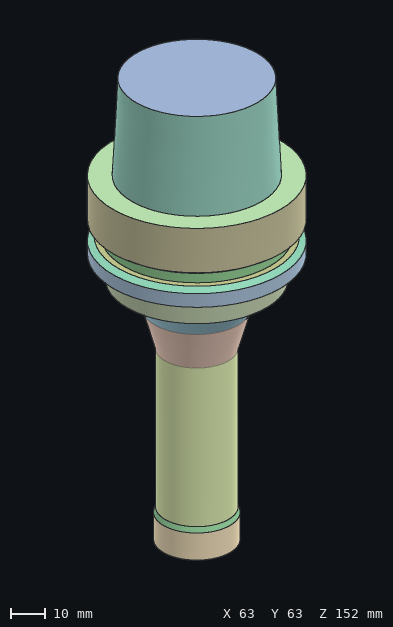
import cadquery as cq

taper_length = 32.0
flange_thickness = 26.0
collar_length = 8.3
flare_depth = 43.8
stem_top_depth = 57.0
overall_length = 152.0
bottom_depth = overall_length - taper_length
tip_length = 9.0
tip_cone_length = 1.75

flange_diameter = 63.0
groove_diameter = 55.0
collar_diameter = 52.6
flare_top_diameter = 44.2
flare_bottom_diameter = 31.4
stem_diameter = 23.8
tip_diameter = 25.0

taper_ratio = 0.1
taper_base_diameter = 48.7
taper_top_diameter = taper_base_diameter - taper_ratio * taper_length

groove_upper_edge_depth = 14.6
groove_floor_top_depth = 16.4
groove_floor_bottom_depth = 20.15
groove_lower_edge_depth = 21.5
groove_upper_mouth_diameter = 57.4
groove_lower_mouth_diameter = 59.0


def frustum(bottom_z, bottom_diameter, top_z, top_diameter):
    """Solid cone or cylinder on the Z axis between two heights."""
    bottom_radius = bottom_diameter / 2
    top_radius = top_diameter / 2
    return (
        cq.Workplane("YZ")
        .moveTo(0, bottom_z)
        .lineTo(bottom_radius, bottom_z)
        .lineTo(top_radius, top_z)
        .lineTo(0, top_z)
        .close()
        .revolve(360, (0, 0), (0, 1))
    )


def cylinder(bottom_z, top_z, diameter):
    return frustum(bottom_z, diameter, top_z, diameter)


def make_shank():
    return frustum(0, taper_base_diameter, taper_length, taper_top_diameter)


def make_flange():
    """Flange disc split by a groove with one bevelled edge on each side."""
    upper_rim = cylinder(-groove_upper_edge_depth, 0, flange_diameter)
    upper_bevel = frustum(
        -groove_floor_top_depth, groove_upper_mouth_diameter,
        -groove_upper_edge_depth, flange_diameter,
    )
    core = cylinder(-groove_floor_bottom_depth, -groove_floor_top_depth, groove_diameter)
    lower_bevel = frustum(
        -groove_lower_edge_depth, flange_diameter,
        -groove_floor_bottom_depth, groove_lower_mouth_diameter,
    )
    lower_rim = cylinder(-flange_thickness, -groove_lower_edge_depth, flange_diameter)
    return upper_rim.union(upper_bevel).union(core).union(lower_bevel).union(lower_rim)


def make_neck():
    """Collar below the flange and the two cones that narrow to the stem."""
    collar_bottom_z = -(flange_thickness + collar_length)
    collar = cylinder(collar_bottom_z, -flange_thickness, collar_diameter)
    upper_cone = frustum(-flare_depth, flare_bottom_diameter, collar_bottom_z, flare_top_diameter)
    lower_cone = frustum(-stem_top_depth, stem_diameter, -flare_depth, flare_bottom_diameter)
    return collar.union(upper_cone).union(lower_cone)


def make_stem():
    """Slim stem with a slightly larger tip joined by a short cone."""
    tip_top_z = -bottom_depth + tip_length
    stem_bottom_z = tip_top_z + tip_cone_length
    stem = cylinder(stem_bottom_z, -stem_top_depth, stem_diameter)
    tip_cone = frustum(tip_top_z, tip_diameter, stem_bottom_z, stem_diameter)
    tip = cylinder(-bottom_depth, tip_top_z, tip_diameter)
    return stem.union(tip_cone).union(tip)


result = make_shank().union(make_flange()).union(make_neck()).union(make_stem())